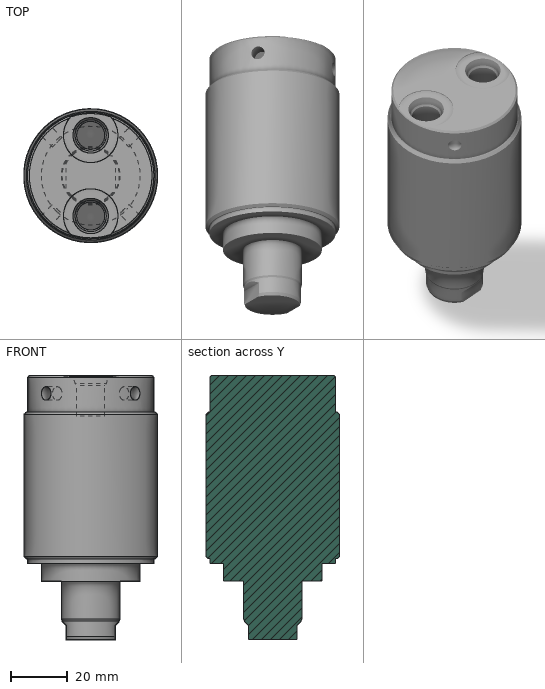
import cadquery as cq

total_height = 93.3
body_radius = 47.3 / 2
head_radius = 22.3
flange_radius = 17.5
neck_radius = 10.4
tip_radius = 10.1

tip_top = 6.7
neck_bottom = 7.4
flange_bottom = 20.6
collar_bottom = 26.9
body_bottom = 28.6
body_top = 80.5

body_chamfer = 0.9
head_chamfer = 0.7
tip_chamfer_width = 0.4
tip_chamfer_height = 1.1

flat_distance = 8.7
flat_height = 5.0

port_spacing = 28.5
port_offset = port_spacing / 2
spotface_radius = 9.6
spotface_depth = 0.3
port_mouth_radius = 6.3
port_seat_radius = 5.5
port_depth = 2.6
bore_radius = 4.95
bore_depth = 14.0
bore_chamfer = port_seat_radius - bore_radius

spanner_hole_radius = 4.8 / 2
spanner_hole_depth = 5.6
spanner_hole_height = 87.0
spanner_hole_angles = (45, 135, 225, 315)


def turned_body():
    """Revolve the stepped outline about Z."""
    outline = [
        (0, 0),
        (tip_radius - tip_chamfer_width, 0),
        (tip_radius, tip_chamfer_height),
        (tip_radius, tip_top),
        (neck_radius, neck_bottom),
        (neck_radius, flange_bottom),
        (flange_radius, flange_bottom),
        (flange_radius, collar_bottom),
        (head_radius, collar_bottom),
        (head_radius, body_bottom),
        (body_radius - body_chamfer, body_bottom),
        (body_radius, body_bottom + body_chamfer),
        (body_radius, body_top - body_chamfer),
        (body_radius - body_chamfer, body_top),
        (head_radius, body_top),
        (head_radius, total_height - head_chamfer),
        (head_radius - head_chamfer, total_height),
        (0, total_height),
    ]
    return cq.Workplane("XZ").polyline(outline).close().revolve(360, (0, 0), (0, 1))


def wrench_flat(side):
    """Material removed for the flat on the +X (side = 1) or -X (side = -1) face."""
    ramp = body_radius - flat_distance
    outline = [
        (side * flat_distance, 0),
        (side * flat_distance, flat_height),
        (side * body_radius, flat_height + ramp),
        (side * body_radius, 0),
    ]
    cutter = cq.Workplane("XZ").polyline(outline).close().extrude(body_radius, both=True)
    return cutter.intersect(cq.Workplane("XY").circle(neck_radius).extrude(flange_bottom))


def port(y):
    """Spotface, tapered seal seat, chamfer and blind bore of one port."""
    seat = total_height - spotface_depth
    spotface = cq.Workplane("XY", (0, y, seat)).circle(spotface_radius).extrude(spotface_depth)
    outline = [
        (0, seat),
        (port_mouth_radius, seat),
        (port_seat_radius, seat - port_depth),
        (bore_radius, seat - port_depth - bore_chamfer),
        (bore_radius, seat - bore_depth),
        (0, seat - bore_depth),
    ]
    bore = cq.Workplane("XZ").polyline(outline).close().revolve(360, (0, 0), (0, 1))
    return spotface.union(bore.translate((0, y, 0)))


def spanner_hole(angle):
    """Blind radial hole in the head at the given angle about Z."""
    hole = (
        cq.Workplane("YZ", (head_radius - spanner_hole_depth, 0, spanner_hole_height))
        .circle(spanner_hole_radius)
        .extrude(body_radius - head_radius + spanner_hole_depth)
    )
    return hole.rotate((0, 0, 0), (0, 0, 1), angle)


result = turned_body()
for side in (-1, 1):
    result = result.cut(wrench_flat(side))
    result = result.cut(port(side * port_offset))
for angle in spanner_hole_angles:
    result = result.cut(spanner_hole(angle))